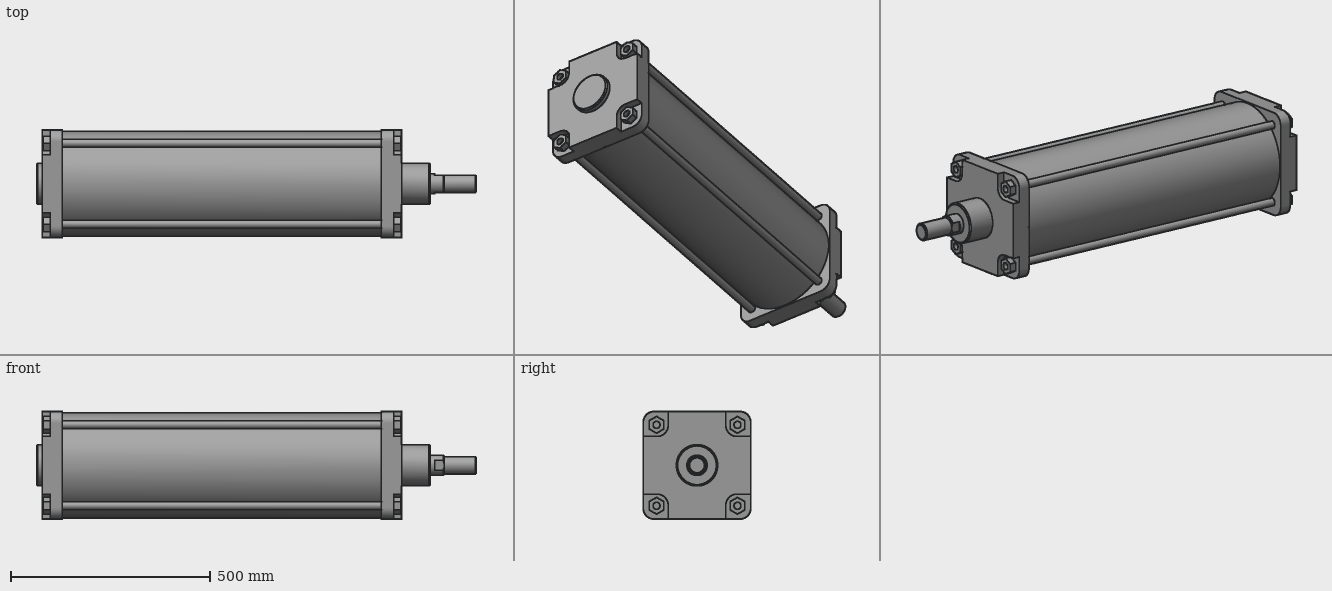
import cadquery as cq
import math

total_length = 1103.0
end_boss_length = 14.0
cap_thickness = 51.0
barrel_length = 800.0
collar_length = 72.0

rear_cap_x = end_boss_length
barrel_x = rear_cap_x + cap_thickness
front_cap_x = barrel_x + barrel_length
front_face_x = front_cap_x + cap_thickness
collar_end_x = front_face_x + collar_length

cap_width = 270.0
cap_corner_radius = 28.0
boss_radius = 52.0
boss_chamfer = 3.0
pocket_depth = 20.0
pocket_side = 63.0
pocket_corner_radius = 28.0

barrel_radius = 132.0

tie_rod_offset = 101.0
tie_rod_radius = 10.0
nut_across_flats = 36.0
nut_height = 18.0
nut_bore_radius = 9.0
nut_bore_depth = 13.0

rod_radius = 25.0
thread_radius = 22.0
flats_width = 44.0
flats_start_x = 998.0
flats_end_x = 1022.0
rod_chamfer = 3.0

corner_positions = [
    (y_side * tie_rod_offset, z_side * tie_rod_offset)
    for y_side in (-1, 1)
    for z_side in (-1, 1)
]


def section_at(x):
    """Workplane across the axis at x: local x is Y, local y is Z, normal is +X."""
    return cq.Workplane("YZ", origin=(x, 0, 0))


def cylinder(x_start, x_end, radius):
    return section_at(x_start).circle(radius).extrude(x_end - x_start)


def corner_pockets(x_start):
    """Square pockets with one round corner, one at each nut, open to both adjoining sides."""
    inner = cap_width / 2 - pocket_side
    middle = inner + pocket_side / 2
    pockets = []
    for y, z in corner_positions:
        y_side = math.copysign(1, y)
        z_side = math.copysign(1, z)
        pocket = (
            section_at(x_start)
            .center(y_side * middle, z_side * middle)
            .rect(pocket_side, pocket_side)
            .extrude(pocket_depth)
        )
        inner_corner = cq.selectors.NearestToPointSelector(
            (x_start + pocket_depth / 2, y_side * inner, z_side * inner)
        )
        pockets.append(pocket.edges("|X").edges(inner_corner).fillet(pocket_corner_radius))
    return pockets


def end_cap(x_start, pocket_x):
    """Square plate with rounded corners, nut pockets and tie rod holes."""
    cap = section_at(x_start).rect(cap_width, cap_width).extrude(cap_thickness)
    cap = cap.edges("|X").fillet(cap_corner_radius)
    for pocket in corner_pockets(pocket_x):
        cap = cap.cut(pocket)
    tie_rod_holes = (
        section_at(x_start).pushPoints(corner_positions).circle(tie_rod_radius).extrude(cap_thickness)
    )
    return cap.cut(tie_rod_holes)


def make_rear_cap():
    """End cap with a low round boss on its outer face."""
    boss = cylinder(0, rear_cap_x, boss_radius).faces("<X").chamfer(boss_chamfer)
    return end_cap(rear_cap_x, rear_cap_x).union(boss)


def make_front_cap():
    """End cap with a long collar that guides the piston rod."""
    collar = cylinder(front_face_x, collar_end_x, boss_radius).faces(">X").chamfer(boss_chamfer)
    rod_bore = cylinder(front_cap_x, collar_end_x, rod_radius)
    return end_cap(front_cap_x, front_face_x - pocket_depth).union(collar).cut(rod_bore)


def make_piston_rod():
    """Shank with two wrench flats, then a slimmer threaded end kept as a plain cylinder."""
    shank = cylinder(front_cap_x, flats_end_x, rod_radius).faces(">X").chamfer(rod_chamfer)
    flats_length = flats_end_x - flats_start_x
    side_blocks = (
        section_at(flats_start_x)
        .pushPoints([(-flats_width, 0), (flats_width, 0)])
        .rect(flats_width, 2 * rod_radius)
        .extrude(flats_length)
    )
    thread = cylinder(flats_end_x, total_length, thread_radius).faces(">X").chamfer(rod_chamfer)
    return shank.cut(side_blocks).union(thread)


def nut(y, z, seat_x, direction):
    """Hexagonal nut with flats facing -Y and +Y and a blind bore in its outer face.

    It stands on seat_x and grows along X in the given direction, -1 or +1.
    """
    across_corners = nut_across_flats / math.cos(math.pi / 6)
    body = (
        section_at(seat_x)
        .center(y, z)
        .transformed(rotate=(0, 0, 90))
        .polygon(6, across_corners)
        .extrude(direction * nut_height)
    )
    bore = (
        section_at(seat_x + direction * nut_height)
        .center(y, z)
        .circle(nut_bore_radius)
        .extrude(-direction * nut_bore_depth)
    )
    return body.cut(bore)


def make_tie_rod(y, z):
    """Rod through both end caps with a nut at each end."""
    rear_seat_x = rear_cap_x + pocket_depth
    front_seat_x = front_face_x - pocket_depth
    rod = section_at(rear_seat_x).center(y, z).circle(tie_rod_radius).extrude(front_seat_x - rear_seat_x)
    return rod.union(nut(y, z, rear_seat_x, -1)).union(nut(y, z, front_seat_x, 1))


rear_cap = make_rear_cap()
barrel = cylinder(barrel_x, front_cap_x, barrel_radius)
front_cap = make_front_cap()
piston_rod = make_piston_rod()
tie_rods = [make_tie_rod(y, z) for y, z in corner_positions]

result = cq.Compound.makeCompound(
    [
        rear_cap.val(),
        barrel.val(),
        front_cap.val(),
        piston_rod.val(),
        *[tie_rod.val() for tie_rod in tie_rods],
    ]
)